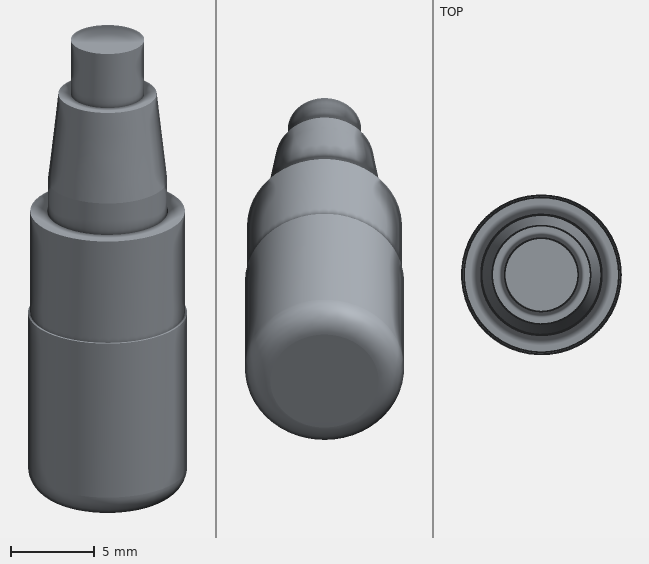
import cadquery as cq

total_height = 29.3

barrel_diameter = 9.52
barrel_top = 11.55
barrel_bottom_round = 1.52
collar_diameter = 9.25
collar_top = 18.15
bore_floor = barrel_top

neck_diameter = 7.15
neck_top = 20.15
taper_top_diameter = 5.9
taper_top = 25.78
tip_diameter = 4.4

radial_clearance = 0.045
bore_diameter = neck_diameter + 2 * radial_clearance


def cylinder(diameter, bottom, top):
    """Upright cylinder on the Z axis between two heights."""
    return cq.Workplane("XY").workplane(offset=bottom).circle(diameter / 2).extrude(top - bottom)


def make_housing():
    """Round-bottomed barrel and collar with the plug bore cut from the top."""
    barrel = cylinder(barrel_diameter, 0, barrel_top)
    barrel = barrel.faces("<Z").edges().fillet(barrel_bottom_round)
    collar = cylinder(collar_diameter, barrel_top, collar_top)
    bore = cylinder(bore_diameter, bore_floor, collar_top)
    return barrel.union(collar).cut(bore)


def make_plug():
    """Neck, taper and tip as one revolved profile standing on the bore floor."""
    profile = (
        cq.Workplane("XZ")
        .moveTo(0, bore_floor)
        .lineTo(neck_diameter / 2, bore_floor)
        .lineTo(neck_diameter / 2, neck_top)
        .lineTo(taper_top_diameter / 2, taper_top)
        .lineTo(tip_diameter / 2, taper_top)
        .lineTo(tip_diameter / 2, total_height)
        .lineTo(0, total_height)
        .close()
    )
    return profile.revolve(360, (0, 0, 0), (0, 1, 0))


housing = make_housing()
plug = make_plug()

result = cq.Compound.makeCompound([housing.val(), plug.val()])